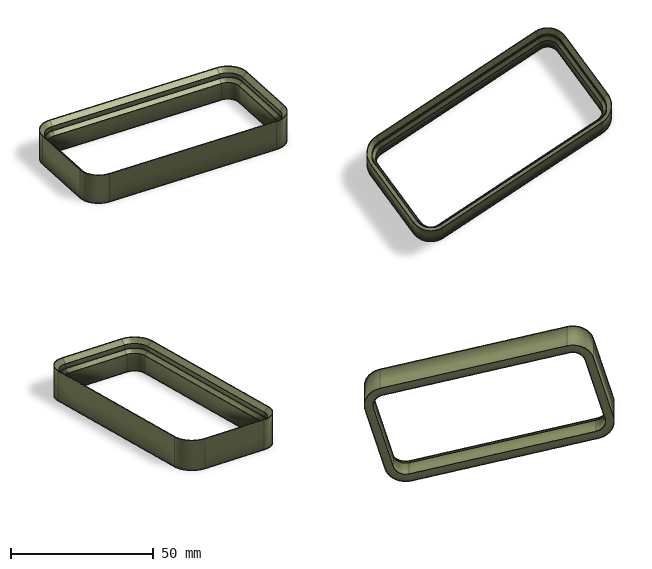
import cadquery as cq

width = 41.0
length = 83.0
height = 11.7
corner_radius = 7.55

upper_bevel = 1.75
step_height = 1.8
lower_bevel = 1.3
wall_thickness = upper_bevel + lower_bevel

step_top = height - upper_bevel
step_bottom = step_top - step_height
wall_top = step_bottom - lower_bevel


def rounded_block(inset, bottom, top, taper=0):
    """Rounded rectangle inset from the outer wall; negative taper widens it upward."""
    outline = cq.Sketch().rect(width - 2 * inset, length - 2 * inset)
    outline = outline.vertices().fillet(corner_radius - inset)
    block = cq.Workplane("XY").workplane(offset=bottom).placeSketch(outline)
    return block.extrude(top - bottom, taper=taper)


bevel_taper = -45
frame = rounded_block(0, 0, height)
opening = rounded_block(wall_thickness, 0, wall_top)
lower_flare = rounded_block(wall_thickness, wall_top, step_bottom, bevel_taper)
step = rounded_block(upper_bevel, step_bottom, step_top)
upper_flare = rounded_block(upper_bevel, step_top, height, bevel_taper)

result = frame.cut(opening).cut(lower_flare).cut(step).cut(upper_flare)